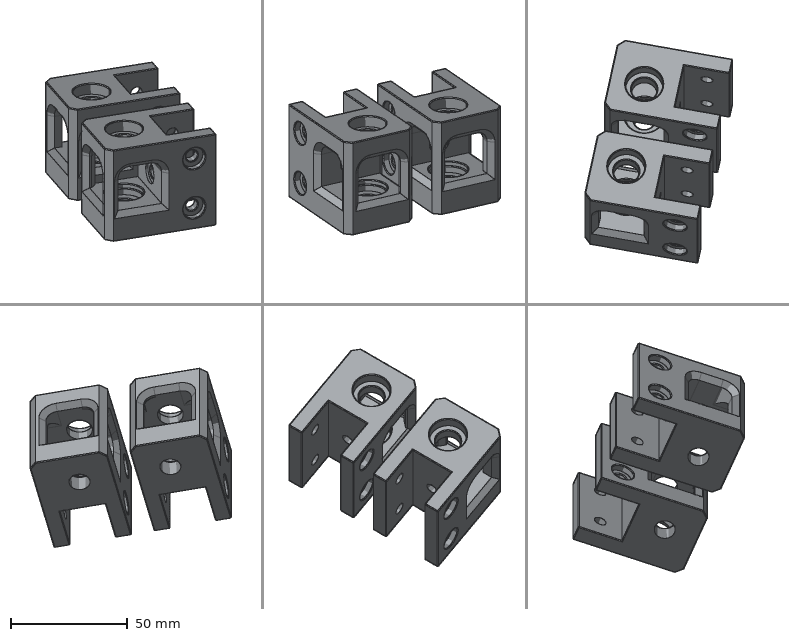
import cadquery as cq

width = 34.0
length = 50.0
height = 43.3
gap = 10.0
corner_chamfer = 3.0
edge_chamfer = 0.4

slot_width = 20.0
slot_depth = 20.0

outer_wall = 7.0
inner_wall = 6.0
front_wall = 6.0
chamber_length = 20.0
chamber_height = 20.0
floor_thickness = 13.25
window_radius = 5.0
window_chamfer = 2.5
flare_angle = 45

shaft_shift = 2.0
shaft_from_front = 15.0
seat_diameter = 16.0
seat_depth = 5.1
seat_relief_diameter = 17.0
seat_relief_depth = 2.0
roof_hole_diameter = 11.0
floor_hole_diameter = 9.0

screw_diameter = 5.2
screw_head_diameter = 10.0
arm_head_depth = 3.0
rear_head_depth = 1.0
arm_screw_inset = 10.0

center_x = -(gap + width) / 2
left_x = center_x - width / 2
right_x = center_x + width / 2
chamber_rear = front_wall + chamber_length
chamber_center_y = front_wall + chamber_length / 2
roof_z = floor_thickness + chamber_height
window_width = width - outer_wall - inner_wall
window_center_x = left_x + outer_wall + window_width / 2
shaft_x = center_x + shaft_shift


def bore(start, direction, diameter, depth):
    """Cylinder to cut, with a chamfered mouth at its start."""
    radius = diameter / 2
    start = cq.Vector(*start)
    direction = cq.Vector(*direction)
    mouth = cq.Solid.makeCone(radius + edge_chamfer, radius, edge_chamfer, start, direction)
    shaft = cq.Solid.makeCylinder(radius, depth, start, direction)
    return cq.Workplane(shaft).union(cq.Workplane(mouth))


def window_outline(plane, opening_width, margin):
    """Square-bottomed, round-topped outline, grown outwards by a margin."""
    half = opening_width / 2 + margin
    radius = window_radius + margin
    bottom = floor_thickness - margin
    top = roof_z + margin
    return (
        cq.Workplane(plane)
        .moveTo(-half, bottom)
        .lineTo(half, bottom)
        .lineTo(half, top - radius)
        .radiusArc((half - radius, top), -radius)
        .lineTo(radius - half, top)
        .radiusArc((-half, top - radius), -radius)
        .close()
    )


def window(origin, x_direction, outward, opening_width, depth):
    """Window to cut inwards from an outer face, with a wide chamfer around its mouth."""
    plane = cq.Plane(origin, x_direction, outward)
    opening = window_outline(plane, opening_width, 0).extrude(-depth)
    flare = window_outline(plane, opening_width, window_chamfer).extrude(-window_chamfer, taper=flare_angle)
    return opening.union(flare)


def block_blank():
    """Fork-shaped prism with chamfered front corners and broken edges."""
    fork = (
        cq.Workplane("XY")
        .rect(width, length)
        .extrude(height)
        .translate((center_x, length / 2, 0))
        .edges("|Z and <Y")
        .chamfer(corner_chamfer)
    )
    slot = (
        cq.Workplane("XY")
        .rect(slot_width, slot_depth)
        .extrude(height)
        .translate((center_x, length - slot_depth / 2, 0))
    )
    return (
        fork.cut(slot)
        .edges("|Z and >Y")
        .chamfer(edge_chamfer)
        .faces("<Z or >Z")
        .edges()
        .chamfer(edge_chamfer)
    )


def cut_chamber(block):
    """Cross tunnel between the side windows, met by the front window."""
    half_width = width / 2
    block = block.cut(
        window((left_x, chamber_center_y, 0), (0, -1, 0), (-1, 0, 0), chamber_length, half_width)
    )
    block = block.cut(
        window((right_x, chamber_center_y, 0), (0, 1, 0), (1, 0, 0), chamber_length, half_width)
    )
    block = block.cut(
        window((window_center_x, 0, 0), (1, 0, 0), (0, -1, 0), window_width, chamber_center_y)
    )
    return block.cut(pillar_relief())


def pillar_relief():
    """Chamfer on the chamber side of the front pillar nearest the other block.

    It widens the front window at 45 degrees behind its throat, but leaves the
    chamber floor, the chamber roof and the far pillar as they are.
    """
    plane = cq.Plane((window_center_x, front_wall, 0), (1, 0, 0), (0, -1, 0))
    flare = window_outline(plane, window_width, window_chamfer).extrude(window_chamfer, taper=flare_angle)
    clearance = window_outline(plane, window_width, window_chamfer).extrude(-chamber_length / 2)
    chamber_half = cq.Workplane("XY").box(width, length, chamber_height, centered=False)
    chamber_half = chamber_half.translate((window_center_x, 0, floor_thickness))
    return flare.union(clearance).intersect(chamber_half)


def cut_shaft_bores(block):
    """Stepped bores in the roof and in the floor, on one vertical axis."""
    down = (0, 0, -1)

    def shaft_bore(z, diameter, depth):
        return bore((shaft_x, shaft_from_front, z), down, diameter, depth)

    block = block.cut(shaft_bore(height, seat_diameter, seat_depth))
    block = block.cut(shaft_bore(height - seat_depth, roof_hole_diameter, height - seat_depth - roof_z))

    seat_z = floor_thickness - seat_depth
    relief_z = floor_thickness - seat_relief_depth
    block = block.cut(shaft_bore(floor_thickness, seat_relief_diameter, seat_relief_depth))
    block = block.cut(shaft_bore(relief_z, seat_diameter, seat_depth - seat_relief_depth))
    return block.cut(shaft_bore(seat_z, floor_hole_diameter, seat_z))


def cut_arm_screws(block):
    """Two counterbored screw holes through each fork arm, with the heads on the outer sides."""
    arm_thickness = (width - slot_width) / 2
    y = length - arm_screw_inset
    for face_x, inward in ((left_x, 1), (right_x, -1)):
        for z in (arm_screw_inset, height - arm_screw_inset):
            direction = (inward, 0, 0)
            head_floor_x = face_x + inward * arm_head_depth
            block = block.cut(bore((face_x, y, z), direction, screw_head_diameter, arm_head_depth))
            block = block.cut(
                bore((head_floor_x, y, z), direction, screw_diameter, arm_thickness - arm_head_depth)
            )
    return block


def cut_rear_screw(block):
    """Screw hole from the chamber into the slot, with a shallow plain head recess."""
    rear_wall = length - slot_depth - chamber_rear
    z = height / 2
    rearward = (0, 1, 0)
    recess = cq.Solid.makeCylinder(
        screw_head_diameter / 2,
        rear_head_depth,
        cq.Vector(center_x, chamber_rear, z),
        cq.Vector(*rearward),
    )
    hole_start = (center_x, chamber_rear + rear_head_depth, z)
    hole = bore(hole_start, rearward, screw_diameter, rear_wall - rear_head_depth)
    return block.cut(cq.Workplane(recess)).cut(hole)


def fork_block():
    block = block_blank()
    block = cut_chamber(block)
    block = cut_shaft_bores(block)
    block = cut_arm_screws(block)
    return cut_rear_screw(block)


left_block = fork_block()
right_block = left_block.mirror("YZ")

result = cq.Compound.makeCompound([left_block.val(), right_block.val()])